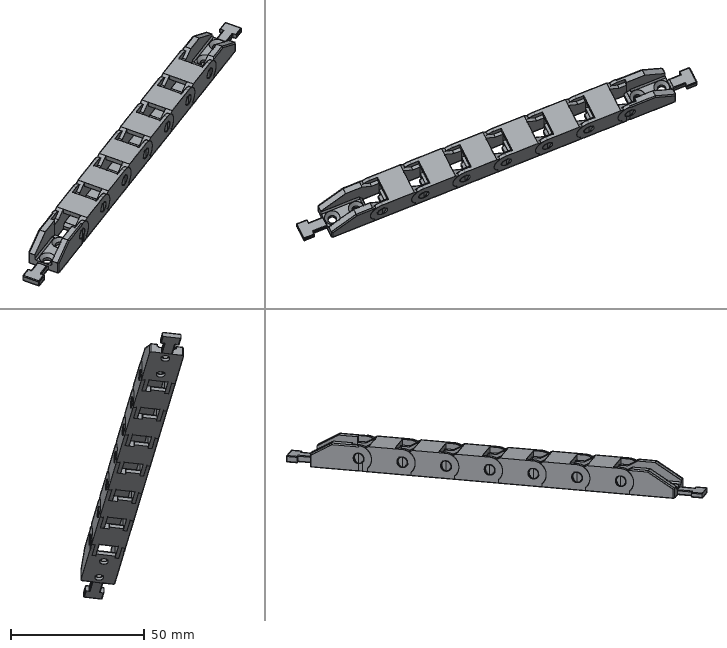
import cadquery as cq
import math

WIDTH = 13.0
HEIGHT = 10.0
LENGTH = 162.0
JOINT_COUNT = 7
PITCH = 17.0
FIRST_JOINT_Y = 50.0

EAR_SPACING = 10.2
CHANNEL_WIDTH = 7.3
HALF_WIDTH = WIDTH / 2
EAR_INNER_X = EAR_SPACING / 2
CHANNEL_HALF_WIDTH = CHANNEL_WIDTH / 2

HINGE_Z = HEIGHT / 2
EAR_RADIUS = HEIGHT / 2
EAR_FOOT = 3.4
PIN_DIAMETER = 3.9
PIN_HOLE_DIAMETER = 4.2
PIN_BEVEL_DEPTH = 0.8
TONGUE_END = 3.0

BAR_THICKNESS = 2.0
BAR_UNDERSIDE_Z = HEIGHT - BAR_THICKNESS
RELIEF_START = 3.9
TONGUE_HEIGHT = 7.8

FLOOR_THICKNESS = 2.6
FLOOR_END_CHAMFER = 1.1
FLOOR_LIP = TONGUE_END - FLOOR_END_CHAMFER
FLOOR_SHOULDER_Z = FLOOR_THICKNESS - FLOOR_END_CHAMFER
FLOOR_CORNER = 0.6
FLOOR_CORNER_START = 4.5
NOTCH_INNER_X = 1.8

BRACKET_END_Y = 71.0
BRACKET_SLOPE = math.radians(31)
REAR_BRACKET_END_HEIGHT = 3.9
FRONT_BRACKET_END_HEIGHT = 5.0
BRACKET_CHAMFER = 0.5
SCREW_HOLE_DIAMETER = 3.2
SCREW_HEAD_DIAMETER = 5.8
SCREW_HEAD_ANGLE = 90
SCREW_YS = (58.0, 67.9)
ASSEMBLY_GROOVE_WIDTH = 1.5
ASSEMBLY_GROOVE_DEPTH = 0.2

TAB_HEAD_WIDTH = 7.1
TAB_HEAD_LENGTH = 4.2
TAB_STEM_WIDTH = 4.2
REAR_TAB_THICKNESS = 2.0
FRONT_TAB_THICKNESS = FLOOR_THICKNESS
TAB_CHAMFER = 0.3
TAB_END_CHAMFER = 0.3
TAB_ROOT_DROP = 1.0


def block(x_range, y_range, z_range):
    """Box between the given limits on each axis."""
    (x0, x1), (y0, y1), (z0, z1) = x_range, y_range, z_range
    return cq.Workplane("XY").box(x1 - x0, y1 - y0, z1 - z0, centered=False).translate((x0, y0, z0))


def prism(points, x0, x1):
    """Outline in (Y, Z), extruded along X from x0 to x1."""
    return cq.Workplane("YZ", origin=(x0, 0, 0)).polyline(points).close().extrude(x1 - x0)


def both_sides(side):
    """A +X side shape together with its mirror image."""
    return side.union(side.mirror("YZ"))


def half_ear(joint_y):
    """Rounded part of an ear on the +Y side of its joint, in the outer wall layer."""
    foot_y = joint_y + EAR_FOOT
    foot_top_z = HINGE_Z - math.sqrt(EAR_RADIUS**2 - EAR_FOOT**2)
    return (
        cq.Workplane("YZ", origin=(EAR_INNER_X, 0, 0))
        .moveTo(joint_y, 0)
        .lineTo(foot_y, 0)
        .lineTo(foot_y, foot_top_z)
        .threePointArc((joint_y + EAR_RADIUS, HINGE_Z), (joint_y, HEIGHT))
        .close()
        .extrude(HALF_WIDTH - EAR_INNER_X)
    )


def hinge_cylinder(joint_y, diameter):
    """Cylinder on a joint's axis, through the outer wall layer."""
    return (
        cq.Workplane("YZ", origin=(EAR_INNER_X, joint_y, HINGE_Z))
        .circle(diameter / 2)
        .extrude(HALF_WIDTH - EAR_INNER_X)
    )


def hinge_pin(joint_y):
    """Pin on the inner wall layer, its end bevelled on the -Y half."""
    bevel = (
        cq.Workplane("XY")
        .moveTo(HALF_WIDTH, joint_y)
        .lineTo(HALF_WIDTH, joint_y - PIN_DIAMETER / 2)
        .lineTo(HALF_WIDTH - PIN_BEVEL_DEPTH, joint_y - PIN_DIAMETER / 2)
        .close()
        .extrude(HEIGHT)
    )
    return hinge_cylinder(joint_y, PIN_DIAMETER).cut(bevel)


def add_ears(body, joint_y):
    """Add the outer ears, with their pin holes, at the +Y end of a body."""
    pin_hole = hinge_cylinder(joint_y, PIN_HOLE_DIAMETER)
    return body.union(both_sides(half_ear(joint_y))).cut(both_sides(pin_hole))


def tongue_space(joint_y):
    """Stretch of the +X inner wall layer that the tongue at a joint fills."""
    return block(
        (CHANNEL_HALF_WIDTH, EAR_INNER_X), (joint_y - TONGUE_END, joint_y), (0, HEIGHT)
    )


def add_tongues(body, joint_y):
    """Shape the -Y end of a body: ear recesses, inner tongues, swing relief and pins."""
    relief = prism(
        [
            (joint_y - TONGUE_END, TONGUE_HEIGHT),
            (joint_y, TONGUE_HEIGHT),
            (joint_y + RELIEF_START, HEIGHT),
            (joint_y - TONGUE_END, HEIGHT),
        ],
        -HALF_WIDTH,
        HALF_WIDTH,
    )
    body = body.cut(both_sides(half_ear(joint_y)))
    body = body.union(both_sides(tongue_space(joint_y))).cut(relief)
    return body.union(both_sides(hinge_pin(joint_y)))


def floor_pin_end(joint_y):
    """Floor outline at its -Y end beside a joint, from the top down."""
    end_y = joint_y + RELIEF_START
    return [(end_y + FLOOR_END_CHAMFER, FLOOR_THICKNESS), (end_y, FLOOR_SHOULDER_Z), (end_y, 0)]


def floor_ear_end(joint_y):
    """Floor outline at its +Y end beside a joint, from the bottom up."""
    end_y = joint_y - FLOOR_LIP
    return [(end_y, 0), (end_y, FLOOR_SHOULDER_Z), (end_y - FLOOR_END_CHAMFER, FLOOR_THICKNESS)]


def floor_slab(outline):
    """Floor across the channel, from its outline in (Y, Z)."""
    return prism(outline, -CHANNEL_HALF_WIDTH, CHANNEL_HALF_WIDTH)


def link(ear_joint_y):
    """Chain link between the joint at ear_joint_y and the next one toward -Y."""
    pin_joint_y = ear_joint_y - PITCH
    wall = block((CHANNEL_HALF_WIDTH, HALF_WIDTH), (pin_joint_y, ear_joint_y), (0, HEIGHT))
    body = both_sides(wall.cut(tongue_space(ear_joint_y)))

    crossbar = block(
        (-EAR_INNER_X, EAR_INNER_X),
        (pin_joint_y + RELIEF_START, ear_joint_y - TONGUE_END),
        (BAR_UNDERSIDE_Z, HEIGHT),
    )
    floor = floor_slab(floor_pin_end(pin_joint_y) + floor_ear_end(ear_joint_y))
    pry_notch = block(
        (NOTCH_INNER_X, CHANNEL_HALF_WIDTH),
        (ear_joint_y - TONGUE_END, ear_joint_y - FLOOR_LIP),
        (0, FLOOR_THICKNESS),
    )
    body = body.union(crossbar).union(floor.cut(pry_notch))
    return add_tongues(add_ears(body, ear_joint_y), pin_joint_y)


def bracket_wall(joint_y, end_y, end_height, joint_edge):
    """+X wall of a bracket, sloping down to its free end; joint_edge selects the joint side."""
    slope_run = (HEIGHT - end_height) / math.tan(BRACKET_SLOPE)
    crest_y = end_y - math.copysign(slope_run, end_y)
    outline = [(joint_y, 0), (end_y, 0), (end_y, end_height), (crest_y, HEIGHT), (joint_y, HEIGHT)]
    wall = prism(outline, CHANNEL_HALF_WIDTH, HALF_WIDTH)
    return wall.faces(">X").edges(f"not (<Z or {joint_edge})").chamfer(BRACKET_CHAMFER)


def floor_corners(y0, y1):
    """Chamfer strips between a bracket's floor and both walls, from y0 to y1."""
    strip = (
        cq.Workplane("XZ", origin=(0, y1, 0))
        .moveTo(CHANNEL_HALF_WIDTH, FLOOR_THICKNESS)
        .lineTo(CHANNEL_HALF_WIDTH - FLOOR_CORNER, FLOOR_THICKNESS)
        .lineTo(CHANNEL_HALF_WIDTH, FLOOR_THICKNESS + FLOOR_CORNER)
        .close()
        .extrude(y1 - y0)
    )
    return both_sides(strip)


def drill_screw_holes(body, direction):
    """Countersunk screw holes through a bracket floor; direction is the bracket's end along Y."""
    return (
        body.copyWorkplane(cq.Workplane("XY", origin=(0, 0, FLOOR_THICKNESS)))
        .pushPoints([(0, direction * y) for y in SCREW_YS])
        .cskHole(SCREW_HOLE_DIAMETER, SCREW_HEAD_DIAMETER, SCREW_HEAD_ANGLE)
    )


def rear_bracket(pin_joint_y):
    """Bracket at the +Y end, carrying pins."""
    end_y = BRACKET_END_Y
    corner_start = pin_joint_y + RELIEF_START + FLOOR_END_CHAMFER
    walls = both_sides(bracket_wall(pin_joint_y, end_y, REAR_BRACKET_END_HEIGHT, "<Y"))
    floor = floor_slab(floor_pin_end(pin_joint_y) + [(end_y, 0), (end_y, FLOOR_THICKNESS)])
    body = walls.union(floor).union(floor_corners(corner_start, end_y))
    return drill_screw_holes(add_tongues(body, pin_joint_y), 1)


def front_bracket(ear_joint_y):
    """Bracket at the -Y end, carrying ears."""
    end_y = -BRACKET_END_Y
    corner_end = ear_joint_y - FLOOR_CORNER_START
    wall = bracket_wall(ear_joint_y, end_y, FRONT_BRACKET_END_HEIGHT, ">Y")
    body = both_sides(wall.cut(tongue_space(ear_joint_y)))
    floor = floor_slab([(end_y, FLOOR_THICKNESS), (end_y, 0)] + floor_ear_end(ear_joint_y))
    body = body.union(floor).union(floor_corners(end_y, corner_end))
    groove = block(
        (HALF_WIDTH - ASSEMBLY_GROOVE_DEPTH, HALF_WIDTH),
        (ear_joint_y, ear_joint_y + ASSEMBLY_GROOVE_WIDTH),
        (0, HINGE_Z),
    )
    body = add_ears(body, ear_joint_y).cut(both_sides(groove))
    return drill_screw_holes(body, -1)


def strain_relief_tab(direction, thickness):
    """T-shaped tab standing out of a bracket end; direction is that end along Y."""
    end_y = direction * LENGTH / 2
    neck_y = end_y - direction * TAB_HEAD_LENGTH
    root_y = direction * BRACKET_END_Y
    half_head = TAB_HEAD_WIDTH / 2
    half_stem = TAB_STEM_WIDTH / 2
    outline = [
        (-half_stem, root_y),
        (half_stem, root_y),
        (half_stem, neck_y),
        (half_head, neck_y),
        (half_head, end_y),
        (-half_head, end_y),
        (-half_head, neck_y),
        (-half_stem, neck_y),
    ]
    tab = cq.Workplane("XY").polyline(outline).close().extrude(thickness)
    return tab.edges("|Y").chamfer(TAB_CHAMFER)


def front_tab():
    """Tab at -Y, whose top slopes down to the bracket at its root."""
    root_y = -BRACKET_END_Y
    top_z = FRONT_TAB_THICKNESS
    root_slope = prism(
        [(root_y, top_z), (root_y - TAB_ROOT_DROP, top_z), (root_y, top_z - TAB_ROOT_DROP)],
        -TAB_STEM_WIDTH / 2,
        TAB_STEM_WIDTH / 2,
    )
    tab = strain_relief_tab(-1, FRONT_TAB_THICKNESS).cut(root_slope)
    return tab.faces("<Y").chamfer(TAB_END_CHAMFER)


joint_ys = [FIRST_JOINT_Y - i * PITCH for i in range(JOINT_COUNT)]
links = [link(y) for y in joint_ys[:-1]]

result = cq.Compound.makeCompound(
    [
        rear_bracket(joint_ys[0]).val(),
        *[one_link.val() for one_link in links],
        front_bracket(joint_ys[-1]).val(),
        strain_relief_tab(1, REAR_TAB_THICKNESS).val(),
        front_tab().val(),
    ]
)